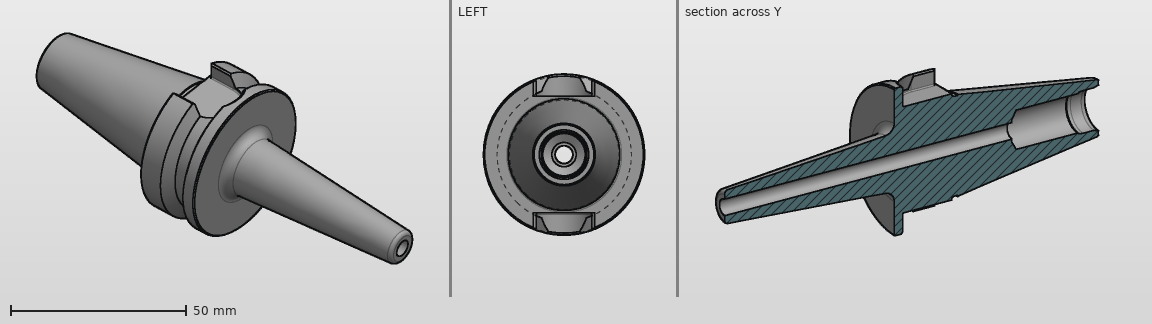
import cadquery as cq
import math

length = 128.4

shank_end_radius = 8.92
shank_end_chamfer = 0.4
shank_end_x = 48.4
shank_radius = 15.9
relief_radius = 31.2 / 2
relief_fillet = 0.8

flange_radius = 46.0 / 2
flange_start_x = 50.3
flange_end_x = 70.2
flange_chamfer = 0.4
groove_radius = 19.1
groove_floor_start_x = 60.1
groove_floor_end_x = 64.0
groove_flank_angle = 30.0
groove_flank = (flange_radius - groove_radius) * math.tan(math.radians(groove_flank_angle))

neck_radius = 9.2
neck_fillet = 3.1
tip_radius = 5.3
tip_fillet = 1.3

mouth_radius = 7.0
mouth_depth = 1.7
counterbore_radius = 13.1 / 2
counterbore_depth = 5.4
lead_in_radius = 6.4
lead_in_depth = 6.7
thread_radius = 6.0
thread_start_x = 7.2
thread_end_x = 28.3
cone_end_radius = 3.5
cone_half_angle = 60.0
cone_end_x = thread_end_x + (thread_radius - cone_end_radius) / math.tan(math.radians(cone_half_angle))
through_radius = 5.0 / 2

slot_half_width = 8.0
slot_floor_z = 16.6
slot_end_x = 67.2
slot_floor_fillet = 0.4
slot_mouth_chamfer = 0.8
slot_rim_chamfer = 0.6


def round_corner(body, x, radius, fillet):
    """Fillet the circular edge of the given radius that lies at x."""
    margin = 0.1
    reach = radius + margin
    circle = cq.selectors.BoxSelector(
        (x - margin, -reach, -reach), (x + margin, reach, reach), boundingbox=True
    )
    return body.edges(circle).fillet(fillet)


def make_body():
    """Revolved outside of the holder, rounded beside the flange and at the tip."""
    profile = [
        (0, 0),
        (0, shank_end_radius - shank_end_chamfer),
        (shank_end_chamfer, shank_end_radius),
        (shank_end_x, shank_radius),
        (shank_end_x, relief_radius),
        (flange_start_x, relief_radius),
        (flange_start_x, flange_radius - flange_chamfer),
        (flange_start_x + flange_chamfer, flange_radius),
        (groove_floor_start_x - groove_flank, flange_radius),
        (groove_floor_start_x, groove_radius),
        (groove_floor_end_x, groove_radius),
        (groove_floor_end_x + groove_flank, flange_radius),
        (flange_end_x - flange_chamfer, flange_radius),
        (flange_end_x, flange_radius - flange_chamfer),
        (flange_end_x, neck_radius),
        (length, tip_radius),
        (length, 0),
    ]
    body = cq.Workplane("XY").polyline(profile).close().revolve(360, (0, 0, 0), (1, 0, 0))
    body = round_corner(body, flange_start_x, relief_radius, relief_fillet)
    body = round_corner(body, flange_end_x, neck_radius, neck_fillet)
    return body.faces(">X").edges().fillet(tip_fillet)


def make_bore():
    """Stepped, cone-bottomed socket leading into a through hole."""
    profile = [
        (0, 0),
        (0, mouth_radius),
        (mouth_depth, counterbore_radius),
        (counterbore_depth, counterbore_radius),
        (lead_in_depth, lead_in_radius),
        (thread_start_x, thread_radius),
        (thread_end_x, thread_radius),
        (cone_end_x, cone_end_radius),
        (cone_end_x, through_radius),
        (length, through_radius),
        (length, 0),
    ]
    return cq.Workplane("XY").polyline(profile).close().revolve(360, (0, 0, 0), (1, 0, 0))


def make_slot():
    """Round-ended drive slot above the axis, flared where it enters the flange."""
    arc_x = slot_end_x - slot_half_width
    slot = (
        cq.Workplane("XY", origin=(0, 0, slot_floor_z))
        .moveTo(shank_end_x, -slot_half_width)
        .lineTo(arc_x, -slot_half_width)
        .threePointArc((slot_end_x, 0), (arc_x, slot_half_width))
        .lineTo(shank_end_x, slot_half_width)
        .close()
        .extrude(flange_radius)
        .faces("<Z").edges("not <X").fillet(slot_floor_fillet)
    )
    flare_half_width = slot_half_width + slot_mouth_chamfer
    flare = (
        cq.Workplane("XY", origin=(0, 0, slot_floor_z))
        .polyline([
            (flange_start_x, -flare_half_width),
            (flange_start_x + slot_mouth_chamfer, -slot_half_width),
            (flange_start_x + slot_mouth_chamfer, slot_half_width),
            (flange_start_x, flare_half_width),
        ])
        .close()
        .extrude(flange_radius)
    )
    return slot.union(flare)


def bevel_slot_rims(body):
    """Bevel the straight slot rims on the flange and the round rims beyond the groove."""
    rim_z = math.sqrt(flange_radius**2 - slot_half_width**2)
    middle_x = (flange_start_x + groove_floor_start_x - groove_flank) / 2
    for side in (1, -1):
        for wall in (1, -1):
            point = (middle_x, wall * slot_half_width, side * rim_z)
            body = body.edges(cq.selectors.NearestToPointSelector(point)).chamfer(slot_rim_chamfer)
        point = (slot_end_x, 0, side * flange_radius)
        body = body.edges(cq.selectors.NearestToPointSelector(point)).chamfer(slot_rim_chamfer)
    return body


slot = make_slot()
holder = make_body().cut(slot).cut(slot.rotate((0, 0, 0), (1, 0, 0), 180))
result = bevel_slot_rims(holder).cut(make_bore())